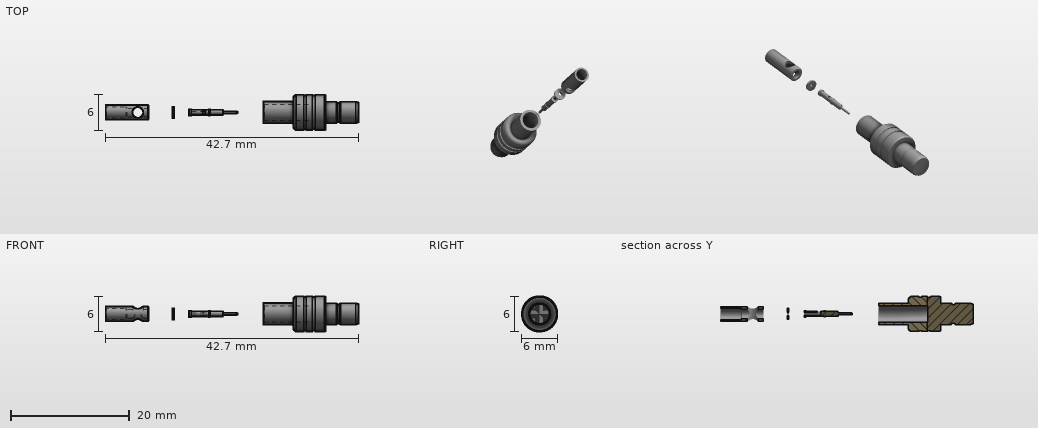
import cadquery as cq
import math


SLEEVE_LENGTH = 7.25
SLEEVE_DIAMETER = 2.5
SLEEVE_NOSE_DIAMETER = 2.2
SLEEVE_BORE_DIAMETER = 1.85
SLEEVE_MOUTH_DIAMETER = 2.0
SLEEVE_THROAT_DIAMETER = 1.5
SLEEVE_THROAT_X = 3.4
SLEEVE_HOLE_DIAMETER = 1.8
SLEEVE_HOLE_X = 5.4

WASHER_X = 11.2
WASHER_THICKNESS = 0.35
WASHER_DIAMETER = 1.9
WASHER_BORE_DIAMETER = 0.5

PIN_X = 14.05
PIN_DIAMETER = 0.95
PIN_FLANGE_DIAMETER = 1.15
PIN_HEAD_END_X = 14.4
PIN_COLLAR_X = 17.4
PIN_COLLAR_THICKNESS = 0.15
PIN_COLLAR_DIAMETER = 1.1
PIN_SHOULDER_X = 19.85
PIN_SHOULDER_CHAMFER = 0.13
PIN_TIP_DIAMETER = 0.4
PIN_TIP_CHAMFER_LENGTH = 0.2
PIN_POINT_DIAMETER = 0.2
PIN_END_X = 22.25
CUP_DIAMETER = 0.4
CUP_HOLE_DIAMETER = 0.5
CUP_HOLE_X = 16.6

HULL_DIAMETER = 6.0
HULL_WAIST_DIAMETER = 5.7

TUBE_X = 26.6
TUBE_DIAMETER = 3.7
TUBE_BORE_DIAMETER = 2.7
TUBE_MOUTH_DIAMETER = 2.9
TUBE_ROOT_FILLET = 0.13
FLANGE_X = 31.6
FLANGE_ROUND_RADIUS = 0.6
FLANGE_CONE_ANGLE = 30
GROOVE_X = 33.45
GROOVE_WIDTH = 0.43

SEAM_X = 34.85
COLLAR_X = 35.35
COLLAR_END_X = 37.15
COLLAR_CHAMFER_LENGTH = 0.25
BARREL_DIAMETER = 3.65
LATCH_GROOVE_X = 38.85
LATCH_GROOVE_WIDTH = 0.75
LATCH_GROOVE_DEPTH = 0.2
BARREL_END_X = 42.65
LEAD_IN_LENGTH = 0.5
LEAD_IN_DEPTH = 0.15


def revolve_about_x(outline):
    """Turn a closed half profile, drawn as (x, radius), about the X axis."""
    return outline.close().revolve(360, (0, 0, 0), (1, 0, 0))


def turned(points):
    """Turned solid from straight-sided (x, radius) points; both end points lie on the axis."""
    return revolve_about_x(cq.Workplane("XY").polyline(points))


def bore(x_start, x_end, diameter):
    """Cylindrical cutter on the X axis."""
    return cq.Workplane("YZ", origin=(x_start, 0, 0)).circle(diameter / 2).extrude(x_end - x_start)


def bore_with_mouth(x_start, x_end, diameter, mouth_diameter):
    """Bore cutter with a 45 degree countersink at its first end."""
    radius = diameter / 2
    mouth_radius = mouth_diameter / 2
    return turned([
        (x_start, 0),
        (x_start, mouth_radius),
        (x_start + mouth_radius - radius, radius),
        (x_end, radius),
        (x_end, 0),
    ])


def make_sleeve():
    radius = SLEEVE_DIAMETER / 2
    nose_radius = SLEEVE_NOSE_DIAMETER / 2
    blank = turned([
        (0, 0),
        (0, radius),
        (SLEEVE_LENGTH - (radius - nose_radius), radius),
        (SLEEVE_LENGTH, nose_radius),
        (SLEEVE_LENGTH, 0),
    ])
    cross_hole = (
        cq.Workplane("XY")
        .center(SLEEVE_HOLE_X, 0)
        .circle(SLEEVE_HOLE_DIAMETER / 2)
        .extrude(SLEEVE_DIAMETER, both=True)
    )
    cable_bore = bore_with_mouth(0, SLEEVE_THROAT_X, SLEEVE_BORE_DIAMETER, SLEEVE_MOUTH_DIAMETER)
    throat = bore_with_mouth(
        SLEEVE_THROAT_X, SLEEVE_LENGTH, SLEEVE_THROAT_DIAMETER, SLEEVE_BORE_DIAMETER
    )
    return blank.cut(cable_bore).cut(throat).cut(cross_hole)


def make_washer():
    end_x = WASHER_X + WASHER_THICKNESS
    return bore(WASHER_X, end_x, WASHER_DIAMETER).cut(bore(WASHER_X, end_x, WASHER_BORE_DIAMETER))


def make_pin():
    body_radius = PIN_DIAMETER / 2
    head_radius = PIN_FLANGE_DIAMETER / 2
    collar_radius = PIN_COLLAR_DIAMETER / 2
    tip_radius = PIN_TIP_DIAMETER / 2
    collar_end_x = PIN_COLLAR_X + PIN_COLLAR_THICKNESS
    blank = turned([
        (PIN_X, 0),
        (PIN_X, head_radius),
        (PIN_HEAD_END_X, head_radius),
        (PIN_HEAD_END_X, body_radius),
        (PIN_COLLAR_X, body_radius),
        (PIN_COLLAR_X, collar_radius),
        (collar_end_x, collar_radius),
        (collar_end_x + collar_radius - body_radius, body_radius),
        (PIN_SHOULDER_X - PIN_SHOULDER_CHAMFER, body_radius),
        (PIN_SHOULDER_X, body_radius - PIN_SHOULDER_CHAMFER),
        (PIN_SHOULDER_X, tip_radius),
        (PIN_END_X - PIN_TIP_CHAMFER_LENGTH, tip_radius),
        (PIN_END_X, PIN_POINT_DIAMETER / 2),
        (PIN_END_X, 0),
    ])
    cup = bore(PIN_X, CUP_HOLE_X + CUP_HOLE_DIAMETER / 2, CUP_DIAMETER)
    inspection_hole = (
        cq.Workplane("XY").center(CUP_HOLE_X, 0).circle(CUP_HOLE_DIAMETER / 2).extrude(PIN_DIAMETER)
    )
    return blank.cut(cup).cut(inspection_hole)


def make_rear_housing():
    hull_radius = HULL_DIAMETER / 2
    waist_radius = HULL_WAIST_DIAMETER / 2
    tube_radius = TUBE_DIAMETER / 2
    cone = math.radians(FLANGE_CONE_ANGLE)

    turn = math.pi / 2 - cone
    round_x = FLANGE_X + FLANGE_ROUND_RADIUS * (1 - math.cos(turn))
    round_start_radius = waist_radius - FLANGE_ROUND_RADIUS * math.sin(turn)
    round_mid = (
        FLANGE_X + FLANGE_ROUND_RADIUS * (1 - math.cos(turn / 2)),
        round_start_radius + FLANGE_ROUND_RADIUS * math.sin(turn / 2),
    )
    cone_end_x = round_x + (hull_radius - waist_radius) / math.tan(cone)

    fillet_mid_offset = TUBE_ROOT_FILLET * (1 - math.sqrt(0.5))
    blank = revolve_about_x(
        cq.Workplane("XY")
        .moveTo(TUBE_X, 0)
        .lineTo(TUBE_X, tube_radius)
        .lineTo(FLANGE_X - TUBE_ROOT_FILLET, tube_radius)
        .threePointArc(
            (FLANGE_X - fillet_mid_offset, tube_radius + fillet_mid_offset),
            (FLANGE_X, tube_radius + TUBE_ROOT_FILLET),
        )
        .lineTo(FLANGE_X, round_start_radius)
        .threePointArc(round_mid, (round_x, waist_radius))
        .lineTo(cone_end_x, hull_radius)
        .lineTo(GROOVE_X, hull_radius)
        .lineTo(GROOVE_X, waist_radius)
        .lineTo(GROOVE_X + GROOVE_WIDTH, waist_radius)
        .lineTo(GROOVE_X + GROOVE_WIDTH, hull_radius)
        .lineTo(SEAM_X, hull_radius)
        .lineTo(SEAM_X, 0)
    )
    return blank.cut(bore_with_mouth(TUBE_X, SEAM_X, TUBE_BORE_DIAMETER, TUBE_MOUTH_DIAMETER))


def make_front_housing():
    hull_radius = HULL_DIAMETER / 2
    waist_radius = HULL_WAIST_DIAMETER / 2
    barrel_radius = BARREL_DIAMETER / 2
    latch_radius = barrel_radius - LATCH_GROOVE_DEPTH
    latch_end_x = LATCH_GROOVE_X + LATCH_GROOVE_WIDTH
    return turned([
        (SEAM_X, 0),
        (SEAM_X, waist_radius),
        (COLLAR_X, waist_radius),
        (COLLAR_X, hull_radius),
        (COLLAR_END_X - COLLAR_CHAMFER_LENGTH, hull_radius),
        (COLLAR_END_X, waist_radius),
        (COLLAR_END_X, barrel_radius),
        (LATCH_GROOVE_X, barrel_radius),
        (LATCH_GROOVE_X + LATCH_GROOVE_DEPTH, latch_radius),
        (latch_end_x - LATCH_GROOVE_DEPTH, latch_radius),
        (latch_end_x, barrel_radius),
        (BARREL_END_X - LEAD_IN_LENGTH, barrel_radius),
        (BARREL_END_X, barrel_radius - LEAD_IN_DEPTH),
        (BARREL_END_X, 0),
    ])


sleeve = make_sleeve()
washer = make_washer()
pin = make_pin()
rear_housing = make_rear_housing()
front_housing = make_front_housing()

result = cq.Compound.makeCompound([
    sleeve.val(),
    washer.val(),
    pin.val(),
    rear_housing.val(),
    front_housing.val(),
])